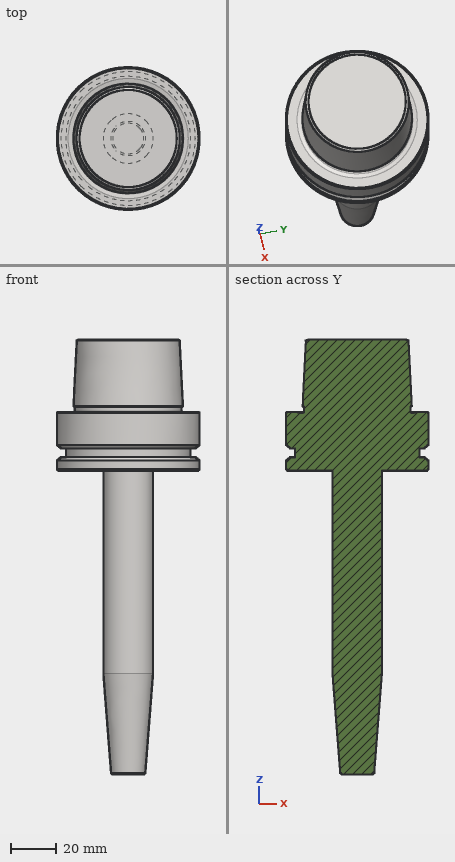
import cadquery as cq
import math


taper_height = 32.0
taper_base_radius = 24.3
taper_rate = 1 / 20
taper_top_chamfer_width = 1.3
taper_top_chamfer_height = 0.5

relief_top = 2.6
relief_radius = 23.6
relief_step_height = 0.5
relief_fillet_radius = 0.8
recess_radius = 26.5
recess_depth = 0.5

flange_radius = 31.5
flange_length = 26.0
flange_top_chamfer = 0.5
flange_bottom_chamfer = 0.8
groove_center_depth = 18.0
groove_mouth_width = 7.0
groove_floor_width = 3.75
groove_floor_radius = 27.5
groove_flare_angle = 50.0

nose_end_depth = 159.9
nose_radius = 11.0
nose_cone_length = 44.5
nose_tip_radius = 7.6
nose_tip_chamfer = 0.8


recess_angle = math.atan2(recess_depth, recess_radius - relief_radius)
fillet_tangent_length = relief_fillet_radius * math.tan((math.pi / 2 + recess_angle) / 2)
fillet_end = (
    relief_radius + fillet_tangent_length * math.cos(recess_angle),
    -recess_depth + fillet_tangent_length * math.sin(recess_angle),
)


def taper_radius(z):
    """Radius of the taper at height z above the seating face."""
    return taper_base_radius - taper_rate * z


def taper_points():
    """Profile from the top centre down to the start of the relief fillet."""
    shoulder_z = taper_height - taper_top_chamfer_height
    shoulder_radius = taper_radius(shoulder_z)
    return [
        (0, taper_height),
        (shoulder_radius - taper_top_chamfer_width, taper_height),
        (shoulder_radius, shoulder_z),
        (taper_radius(relief_top), relief_top),
        (relief_radius, relief_top - relief_step_height),
        (relief_radius, fillet_tangent_length - recess_depth),
    ]


def flange_points():
    """Profile of the flange, from the rim of the recess to the lower face."""
    flare_height = (groove_mouth_width - groove_floor_width) / 2
    flare_radius = flange_radius - flare_height * math.tan(math.radians(groove_flare_angle))
    mouth_top = -groove_center_depth + groove_mouth_width / 2
    mouth_bottom = mouth_top - groove_mouth_width
    floor_top = mouth_top - flare_height
    floor_bottom = mouth_bottom + flare_height
    return [
        (recess_radius, 0),
        (flange_radius - flange_top_chamfer, 0),
        (flange_radius, -flange_top_chamfer),
        (flange_radius, mouth_top),
        (flare_radius, floor_top),
        (groove_floor_radius, floor_top),
        (groove_floor_radius, floor_bottom),
        (flare_radius, floor_bottom),
        (flange_radius, mouth_bottom),
        (flange_radius, flange_bottom_chamfer - flange_length),
        (flange_radius - flange_bottom_chamfer, -flange_length),
    ]


def nose_points():
    """Profile of the straight shank and the slim cone at its end."""
    return [
        (nose_radius, -flange_length),
        (nose_radius, nose_cone_length - nose_end_depth),
        (nose_tip_radius, nose_tip_chamfer - nose_end_depth),
        (nose_tip_radius - nose_tip_chamfer, -nose_end_depth),
        (0, -nose_end_depth),
    ]


profile = (
    cq.Workplane("XZ")
    .polyline(taper_points())
    .radiusArc(fillet_end, -relief_fillet_radius)
    .polyline(flange_points() + nose_points(), includeCurrent=True)
    .close()
)
result = profile.revolve(360, (0, 0, 0), (0, 1, 0))